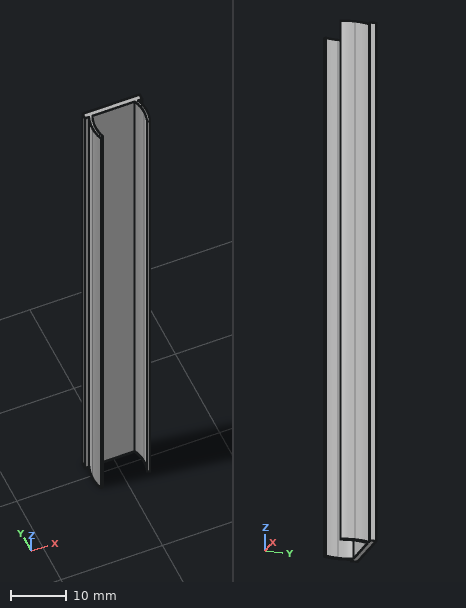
import cadquery as cq
import math

length = 100.0
width = 11.3
depth = 6.6
plate_thickness = 1.2
bow_thickness = 0.6
tip_thickness = 0.5
root_thickness = 0.7
root_inset = 0.8
bow_inset = 0.3
tip_inset = 0.8
bow_depth = 4.0
tip_slant = 0.2

half_width = width / 2
plate_front = -plate_thickness
root_x = half_width - root_inset
bow_x = half_width - bow_inset
tip_x = half_width - tip_inset


def mid_arc(end, bow):
    """Middle point of the arc from bow, where it runs along Y, to end."""
    inward = bow[0] - end[0]
    run = end[1] - bow[1]
    radius = (inward**2 + run**2) / (2 * inward)
    half_angle = math.asin(run / radius) / 2
    return (
        bow[0] - radius * (1 - math.cos(half_angle)),
        bow[1] + radius * math.sin(half_angle),
    )


def make_plate():
    """Flat back of the channel."""
    return (
        cq.Workplane("XY")
        .rect(width, plate_thickness)
        .extrude(length)
        .translate((0, -plate_thickness / 2, 0))
    )


def make_leg():
    """Thin leg on the +X side, bowed outward by two tangent arcs on each face."""
    outer_root = (root_x, plate_front)
    outer_bow = (bow_x, -bow_depth)
    outer_tip = (tip_x, -depth)
    inner_root = (root_x - root_thickness, plate_front)
    inner_bow = (bow_x - bow_thickness, -bow_depth)
    inner_tip = (tip_x - tip_thickness, -depth + tip_slant)
    return (
        cq.Workplane("XY")
        .moveTo(root_x, 0)
        .lineTo(*outer_root)
        .threePointArc(mid_arc(outer_root, outer_bow), outer_bow)
        .threePointArc(mid_arc(outer_tip, outer_bow), outer_tip)
        .lineTo(*inner_tip)
        .threePointArc(mid_arc(inner_tip, inner_bow), inner_bow)
        .threePointArc(mid_arc(inner_root, inner_bow), inner_root)
        .lineTo(root_x - root_thickness, 0)
        .close()
        .extrude(length)
    )


leg = make_leg()
result = make_plate().union(leg).union(leg.mirror("YZ"))